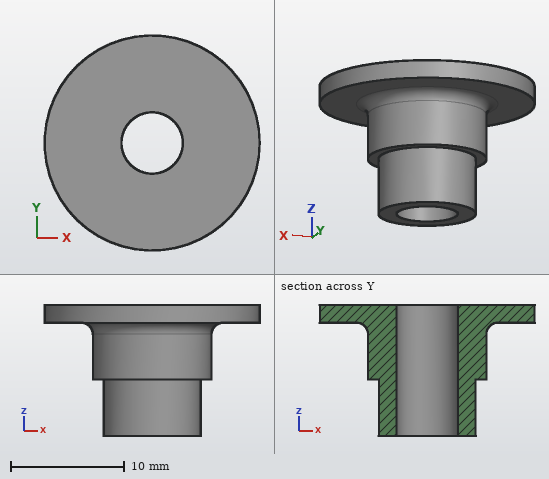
import cadquery as cq

flange_diameter = 19.0
flange_thickness = 1.6
shoulder_diameter = 10.5
shoulder_length = 5.0
spigot_diameter = 8.6
spigot_length = 5.0
bore_diameter = 5.4
fillet_radius = 1.0

shoulder_base = spigot_length
flange_base = shoulder_base + shoulder_length
total_height = flange_base + flange_thickness


def cylinder(diameter, height, base):
    """Solid cylinder on the Z axis, rising from the given base height."""
    return cq.Workplane("XY").workplane(offset=base).circle(diameter / 2).extrude(height)


def flanged_shoulder():
    """Shoulder and flange, joined by a concave fillet."""
    shoulder = cylinder(shoulder_diameter, shoulder_length, shoulder_base)
    flange = cylinder(flange_diameter, flange_thickness, flange_base)
    body = shoulder.union(flange)
    underside = body.faces("<Z[1]")
    joint_edge = underside.edges(cq.selectors.RadiusNthSelector(0))
    return joint_edge.fillet(fillet_radius)


spigot = cylinder(spigot_diameter, spigot_length, 0)
bore = cylinder(bore_diameter, total_height, 0)

result = flanged_shoulder().union(spigot).cut(bore)